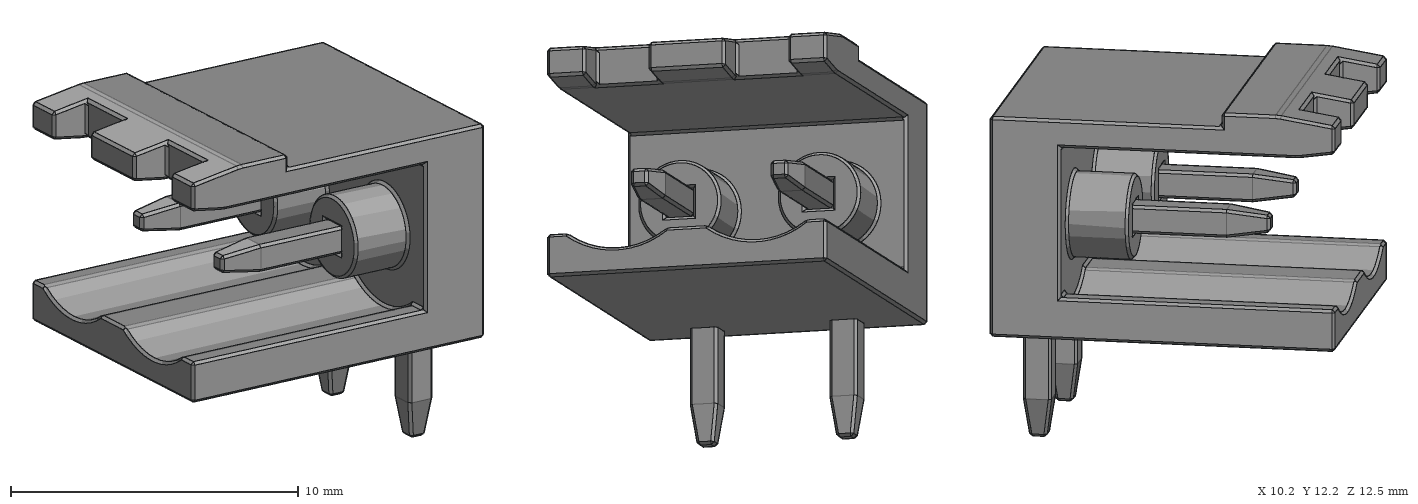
import cadquery as cq

width = 10.16
front_y = -12.2
floor_top = 1.5
cavity_rear_y = -2.5
roof_thickness = 1.0
roof_top = 7.9
roof_underside = roof_top - roof_thickness
edge_break = 0.1

lip_top = roof_top + 0.5
lip_length = 4.0
lip_slope_length = lip_length / 2
lip_slope_drop = 0.3
underside_slope_length = 1.3
underside_slope_rise = 0.2

notch_width = 2.3
notch_depth = 1.4
notch_rear_y = front_y + notch_depth

pin_pitch = 5.08
pin_positions = [-pin_pitch / 2, pin_pitch / 2]
pin_size = 1.0
pin_tip_size = 0.6
contact_z = 3.9
contact_front_y = -9.5
contact_taper = 1.5
leg_y = -1.3
leg_bottom_z = -4.1
leg_taper = 1.4
elbow_rear_y = leg_y + pin_size / 2
elbow_top_z = contact_z + pin_size / 2

boss_radius = 1.5
boss_front_y = -4.7
groove_radius = 3.0

overlap = 0.12


def same(a, b):
    """True when two coordinates agree to well within the smallest feature."""
    return abs(a - b) < edge_break / 10


def edges_where(body, test):
    """Edges of the body whose centre passes the test."""
    return body.newObject([edge for edge in body.edges().vals() if test(edge.Center())])



def square_bar(plane, length):
    return cq.Workplane(plane).rect(pin_size, pin_size).extrude(length)


def square_taper(plane, start, length):
    """Pyramid frustum from the pin size down to the tip size."""
    return (
        cq.Workplane(plane).workplane(offset=start).rect(pin_size, pin_size)
        .workplane(offset=length).rect(pin_tip_size, pin_tip_size)
        .loft(ruled=True)
    )


def contact_plane(x):
    """Plane at the rear of the elbow, facing -Y along the contact."""
    return cq.Plane(origin=(x, elbow_rear_y, contact_z), xDir=(1, 0, 0), normal=(0, -1, 0))


def leg_plane(x):
    """Plane at the top of the elbow, facing -Z along the leg."""
    return cq.Plane(origin=(x, leg_y, elbow_top_z), xDir=(1, 0, 0), normal=(0, 0, -1))


contact_straight = elbow_rear_y - contact_front_y - contact_taper
leg_straight = elbow_top_z - leg_bottom_z - leg_taper


def make_pin(x):
    """Right-angle pin with tapered ends and every edge broken except where the tapers begin."""
    pin = (
        square_bar(contact_plane(x), contact_straight)
        .union(square_bar(leg_plane(x), leg_straight))
        .union(square_taper(contact_plane(x), contact_straight, contact_taper))
        .union(square_taper(leg_plane(x), leg_straight, leg_taper))
    )

    def starts_no_taper(centre):
        contact_taper_start = same(centre.y, contact_front_y + contact_taper)
        leg_taper_start = same(centre.z, leg_bottom_z + leg_taper)
        return not (contact_taper_start or leg_taper_start)

    return edges_where(pin, starts_no_taper).chamfer(edge_break)



def housing_block():
    """C-shaped side profile, with the lip on its roof, extruded across the width."""
    profile = [
        (0, 0),
        (front_y, 0),
        (front_y, floor_top),
        (cavity_rear_y, floor_top),
        (cavity_rear_y, roof_underside),
        (front_y + underside_slope_length, roof_underside),
        (front_y, roof_underside + underside_slope_rise),
        (front_y, lip_top - lip_slope_drop),
        (front_y + lip_slope_length, lip_top),
        (front_y + lip_length, lip_top),
        (front_y + lip_length, roof_top),
        (0, roof_top),
    ]
    return cq.Workplane("YZ").polyline(profile).close().extrude(width / 2, both=True)


def contact_cylinder(x, radius, start_y, end_y):
    """Cylinder about the contact axis at x."""
    return cq.Workplane("XZ", origin=(x, end_y, contact_z)).circle(radius).extrude(end_y - start_y)


def notch(x):
    """Cutter for the notch through the lip above the pin at x."""
    return cq.Workplane("XY", origin=(x, front_y, roof_underside - overlap)).box(
        notch_width, 2 * notch_depth, 2 * roof_thickness, centered=(True, True, False)
    )


def boss(x):
    """Round boss with a broken rim, standing on the rear face of the cavity."""
    cylinder = contact_cylinder(x, boss_radius, boss_front_y, cavity_rear_y)
    return cylinder.faces("<Y").edges().chamfer(edge_break)


def on_groove_ridge(centre):
    """Long edges where the grooves meet the flat strips of the floor."""
    inside_width = abs(centre.x) < width / 2 - overlap
    along_floor = front_y + overlap < centre.y < cavity_rear_y - overlap
    at_floor_top = floor_top - overlap < centre.z < floor_top + overlap
    return inside_width and along_floor and at_floor_top


def in_inside_corner(centre):
    """Inside corners of the cavity's rear face, the foot of the lip and the back of the notches."""
    inside_width = abs(centre.x) < width / 2 - 2 * edge_break
    cavity_corner = same(centre.y, cavity_rear_y)
    lip_foot = same(centre.y, front_y + lip_length) and same(centre.z, roof_top)
    notch_corner = same(centre.y, notch_rear_y) and roof_underside + overlap < centre.z < roof_top
    return inside_width and (cavity_corner or lip_foot or notch_corner)


def on_outside_edge(centre):
    return not (on_groove_ridge(centre) or in_inside_corner(centre))


def in_corner_above_floor(centre):
    return in_inside_corner(centre) and centre.z > floor_top + overlap


def floor_corner_fill():
    """Sloped strip in the corner of the floor and the cavity's rear face, following the grooves."""
    strip_width = width - 2 * edge_break
    strip_depth = edge_break + 4 * overlap
    strip_front_y = cavity_rear_y - edge_break
    fill = (
        cq.Workplane("XY", origin=(0, strip_front_y, overlap))
        .box(strip_width, strip_depth, floor_top + edge_break - overlap, centered=(True, False, False))
        .faces("<Y").edges(">Z")
        .chamfer(edge_break)
    )
    for x in pin_positions:
        groove_cone = (
            cq.Workplane("XZ", origin=(x, strip_front_y + strip_depth, contact_z))
            .circle(groove_radius - strip_depth)
            .workplane(offset=strip_depth + overlap)
            .circle(groove_radius + overlap)
            .loft(ruled=True)
        )
        fill = fill.cut(groove_cone)
    return fill


def pin_passage(x):
    """Cutter the shape of the pin, with a square chamfered mouth in the boss face."""
    mouth_size = pin_size + 2 * edge_break
    mouth = (
        cq.Workplane("XZ", origin=(x, boss_front_y, contact_z))
        .rect(mouth_size, mouth_size)
        .workplane(offset=-edge_break)
        .rect(pin_size, pin_size)
        .loft(ruled=True)
    )
    return make_pin(x).union(mouth)


def make_housing():
    housing = housing_block()
    for x in pin_positions:
        housing = housing.cut(notch(x))
        housing = housing.cut(contact_cylinder(x, groove_radius, front_y, cavity_rear_y))

    housing = edges_where(housing, on_outside_edge).chamfer(edge_break)
    housing = edges_where(housing, on_groove_ridge).chamfer(edge_break)
    for x in pin_positions:
        housing = housing.union(boss(x))
    housing = edges_where(housing, in_corner_above_floor).chamfer(edge_break)
    housing = housing.union(floor_corner_fill())

    for x in pin_positions:
        housing = housing.cut(pin_passage(x))
    return housing


housing = make_housing()
pins = [make_pin(x) for x in pin_positions]
result = cq.Compound.makeCompound([body.solids().val() for body in [housing, *pins]])